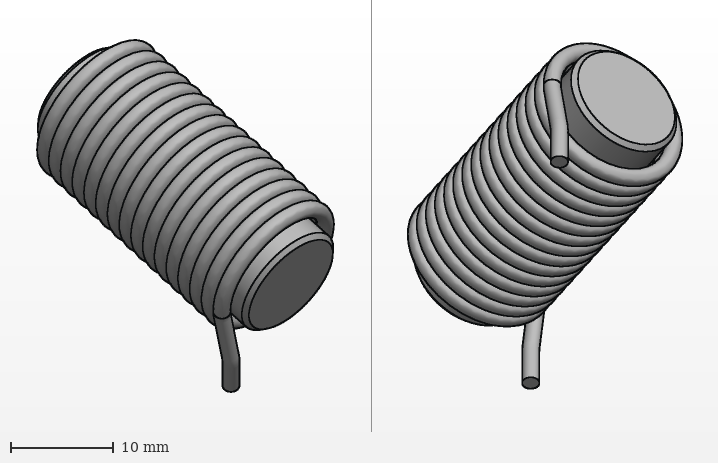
import cadquery as cq
import math


wire_diameter = 1.7
coil_outer_diameter = 16.0
coil_turns = 15.5
coil_length = 26.55
wire_radius = wire_diameter / 2
coil_radius = (coil_outer_diameter - wire_diameter) / 2
coil_pitch = coil_length / coil_turns

core_diameter = 12.0
core_length = 30.75
core_chamfer = 0.5

overall_length = 30.9
lead_drop = 6.98
lead_bottom = -11.0
lead_bend_radius = 3.55
lead_start_x = coil_length / 2
lead_end_x = overall_length / 2 - wire_radius
lead_offset = lead_end_x - lead_start_x


def make_core():
    """Chamfered round rod along X."""
    rod = cq.Workplane("YZ").circle(core_diameter / 2).extrude(core_length / 2, both=True)
    return rod.edges("%CIRCLE").chamfer(core_chamfer)


def make_coil():
    """Right-handed coil that starts on the +Y side and ends on the -Y side."""
    path = cq.Wire.makeHelix(coil_pitch, coil_length, coil_radius)
    coil = (
        cq.Workplane("XZ")
        .center(coil_radius, 0)
        .circle(wire_radius)
        .sweep(cq.Workplane(path), isFrenet=True)
    )
    coil = coil.rotate((0, 0, 0), (0, 1, 0), 90)
    coil = coil.rotate((0, 0, 0), (1, 0, 0), 90)
    return coil.translate((-coil_length / 2, 0, 0))


def make_front_lead():
    """Lead at the +X end: bends outward, slopes down, and bends back to vertical."""
    centre_gap_x = 2 * lead_bend_radius - lead_offset
    centre_distance = math.hypot(centre_gap_x, lead_drop)
    slope = math.asin(2 * lead_bend_radius / centre_distance) - math.atan2(centre_gap_x, lead_drop)

    def bend_shift(angle):
        """Sideways and downward travel after turning through an angle from vertical."""
        return lead_bend_radius * (1 - math.cos(angle)), lead_bend_radius * math.sin(angle)

    half_x, half_z = bend_shift(slope / 2)
    full_x, full_z = bend_shift(slope)
    path = (
        cq.Workplane("XZ", origin=(0, -coil_radius, 0))
        .moveTo(lead_start_x, 0)
        .threePointArc((lead_start_x + half_x, -half_z), (lead_start_x + full_x, -full_z))
        .lineTo(lead_end_x - full_x, full_z - lead_drop)
        .threePointArc((lead_end_x - half_x, half_z - lead_drop), (lead_end_x, -lead_drop))
        .lineTo(lead_end_x, lead_bottom)
    )
    profile = cq.Workplane("XY", origin=(lead_start_x, -coil_radius, 0)).circle(wire_radius)
    return profile.sweep(path)


core = make_core()
coil = make_coil()
leads = [make_front_lead().rotate((0, 0, 0), (0, 0, 1), angle) for angle in (0, 180)]

result = cq.Compound.makeCompound([core.val(), coil.val(), *[lead.val() for lead in leads]])